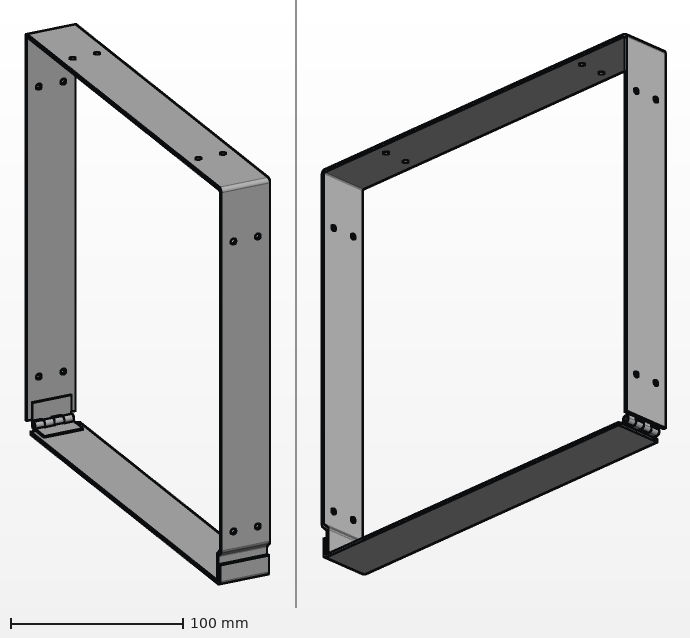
import cadquery as cq
import math

WIDTH = 252.3
DEPTH = 31.8
HEIGHT = 252.5
SHEET = 1.9
BEND_INSIDE = 0.63
BEND_OUTSIDE = BEND_INSIDE + SHEET

LEAF = 0.88
PIN_DIAMETER = 2.8
BARREL_DIAMETER = PIN_DIAMETER + 2 * LEAF
LEAF_REACH = 18.0
HINGE_SETBACK = 6.8
KNUCKLE_COUNT = 4
KNUCKLE_WIDTH = 6.3
HINGE_WIDTH = KNUCKLE_COUNT * KNUCKLE_WIDTH

JOG_START = 21.5
JOG_STEP = 3.8
TAB_END = 2.8
LIP_INSET = 1.3
LIP_HEIGHT = 13.0

HOLE_DIAMETER = 3.5
HOLE_ROW_SPACING = DEPTH / 2
TOP_HOLE_SPACING = 162.0
SIDE_HOLE_SPACING = 184.1
SIDE_HOLE_DROP = 35.0

LEFT = -WIDTH / 2
RIGHT = WIDTH / 2

AXIS_X = LEFT + SHEET + BARREL_DIAMETER / 2
AXIS_Z = SHEET + BARREL_DIAMETER / 2


def inner_corner(before, corner, after):
    """Mitred point one sheet thickness to the right of an outer-face corner."""
    angle_in = math.atan2(corner[1] - before[1], corner[0] - before[0])
    angle_out = math.atan2(after[1] - corner[1], after[0] - corner[0])
    middle = (angle_in + angle_out) / 2
    reach = SHEET / math.cos((angle_out - angle_in) / 2)
    return corner[0] + reach * math.sin(middle), corner[1] - reach * math.cos(middle)


def end_corner(end, start, finish):
    """Point square across the sheet from an outer-face end, for travel from start to finish."""
    angle = math.atan2(finish[1] - start[1], finish[0] - start[0])
    return end[0] + SHEET * math.sin(angle), end[1] - SHEET * math.cos(angle)


def round_edge(strip, point, radius):
    edge = strip.edges("|Y").edges(cq.selectors.NearestToPointSelector((point[0], 0, point[1])))
    return edge.fillet(radius)


def bent_strip(outer, left_bends):
    """Bend a full-depth strip along its outer-face points, with the sheet on their right.

    left_bends lists the points where the strip turns left, so the outer face is inside the bend.
    """
    bends = range(1, len(outer) - 1)
    inner = [inner_corner(outer[i - 1], outer[i], outer[i + 1]) for i in bends]
    first = end_corner(outer[0], outer[0], outer[1])
    last = end_corner(outer[-1], outer[-2], outer[-1])
    outline = outer + [last] + inner[::-1] + [first]
    strip = cq.Workplane("XZ").polyline(outline).close().extrude(DEPTH / 2, both=True)
    for i in bends:
        turns_left = i in left_bends
        strip = round_edge(strip, outer[i], BEND_INSIDE if turns_left else BEND_OUTSIDE)
        strip = round_edge(strip, inner[i - 1], BEND_OUTSIDE if turns_left else BEND_INSIDE)
    return strip


def make_frame():
    """Left side, top and right side in one strip, ending in the stepped-in tab."""
    tab_x = RIGHT - JOG_STEP
    outer = [
        (LEFT, HINGE_SETBACK),
        (LEFT, HEIGHT),
        (RIGHT, HEIGHT),
        (RIGHT, JOG_START),
        (tab_x, JOG_START - JOG_STEP),
        (tab_x, TAB_END),
    ]
    frame = bent_strip(outer, left_bends=[4])

    top_holes = (
        cq.Workplane("XY", origin=(0, 0, HEIGHT - SHEET))
        .rarray(TOP_HOLE_SPACING, HOLE_ROW_SPACING, 2, 2)
        .circle(HOLE_DIAMETER / 2)
        .extrude(SHEET)
    )
    side_hole_middle = HEIGHT - SIDE_HOLE_DROP - SIDE_HOLE_SPACING / 2
    side_holes = (
        cq.Workplane("YZ", origin=(0, 0, side_hole_middle))
        .rarray(HOLE_ROW_SPACING, SIDE_HOLE_SPACING, 2, 2)
        .circle(HOLE_DIAMETER / 2)
        .extrude(WIDTH / 2, both=True)
    )
    return frame.cut(top_holes).cut(side_holes)


def make_base():
    """Bottom strip with an upturned lip at its right end."""
    lip_x = RIGHT - LIP_INSET
    outer = [
        (lip_x, LIP_HEIGHT),
        (lip_x, 0),
        (LEFT + HINGE_SETBACK, 0),
    ]
    return bent_strip(outer, left_bends=[])


def hinge_cylinder(diameter, start_y, length):
    """Cylinder on the hinge axis running toward +Y from start_y."""
    plane = cq.Workplane("XZ", origin=(AXIS_X, start_y, AXIS_Z))
    return plane.circle(diameter / 2).extrude(-length)


def make_knuckle(index):
    """Rolled barrel section with the flat stretch that joins it to a leaf lying along +X."""
    start_y = -HINGE_WIDTH / 2 + index * KNUCKLE_WIDTH
    flat = cq.Workplane("XY").box(BARREL_DIAMETER / 2, KNUCKLE_WIDTH, LEAF, centered=False)
    flat = flat.translate((AXIS_X, start_y, SHEET))
    barrel = hinge_cylinder(BARREL_DIAMETER, start_y, KNUCKLE_WIDTH)
    bore = hinge_cylinder(PIN_DIAMETER, start_y, KNUCKLE_WIDTH)
    return barrel.union(flat).cut(bore)


def make_flat_leaf(first_knuckle):
    """Leaf lying on the base, carrying every second knuckle."""
    plate_start = AXIS_X + BARREL_DIAMETER / 2
    plate_length = LEFT + LEAF_REACH - plate_start
    leaf = cq.Workplane("XY").box(plate_length, HINGE_WIDTH, LEAF, centered=(False, True, False))
    leaf = leaf.translate((plate_start, 0, SHEET))
    for index in range(first_knuckle, KNUCKLE_COUNT, 2):
        leaf = leaf.union(make_knuckle(index))
    return leaf


def make_upright_leaf(first_knuckle):
    """Leaf against the frame's left side: a flat leaf mirrored in the 45 degree plane of the axis."""
    leaf = make_flat_leaf(first_knuckle)
    turned = leaf.rotate((AXIS_X, 0, AXIS_Z), (AXIS_X, 1, AXIS_Z), -90)
    return turned.mirror("YZ", (AXIS_X, 0, AXIS_Z))


frame = make_frame()
base = make_base()
base_leaf = make_flat_leaf(first_knuckle=0)
frame_leaf = make_upright_leaf(first_knuckle=1)
pin = hinge_cylinder(PIN_DIAMETER, -HINGE_WIDTH / 2, HINGE_WIDTH)

result = cq.Compound.makeCompound(
    [frame.val(), base.val(), base_leaf.val(), frame_leaf.val(), pin.val()]
)